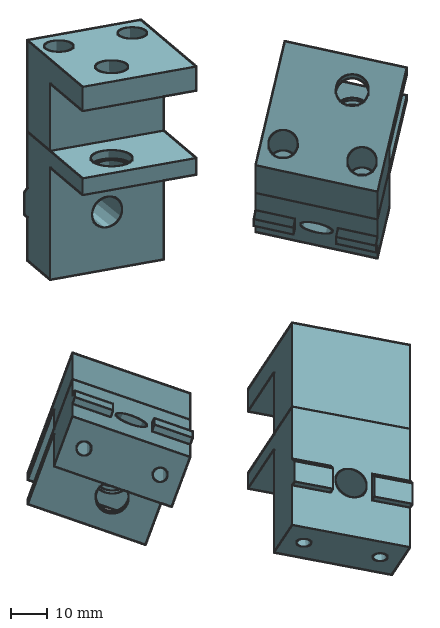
import cadquery as cq

length = 38.0
width = 34.0
height = 65.0

tooth_depth = 2.0
column_thickness = 14.95
seam_height = 38.0
upper_arm_thickness = 7.15
lower_arm_thickness = 4.95
column_end = tooth_depth + column_thickness

tooth_width = 11.05
tooth_bottom = 12.75
tooth_top = 21.3

bore_diameter = 9.0
cross_hole_height = (tooth_bottom + tooth_top) / 2

screw_diameter = 4.0
screw_head_diameter = 8.0
screw_head_depth = height - seam_height - upper_arm_thickness
screw_x = tooth_depth + column_thickness / 2
screw_spacing = 22.0

bore_x = 28.55
bore_y = -3.95
seat_diameter = 11.4
upper_seat_depth = 3.05
lower_seat_depth = 2.5


def block(x_start, x_end, y_start, y_end, z_start, z_end):
    """Box between two limits on each axis."""
    return cq.Workplane("XY").box(
        x_end - x_start, y_end - y_start, z_end - z_start, centered=False
    ).translate((x_start, y_start, z_start))


def upright_cylinder(diameter, x, y, z_start, z_end):
    """Vertical cylinder between two heights."""
    return cq.Workplane("XY", origin=(x, y, z_start)).circle(diameter / 2).extrude(z_end - z_start)


def bracket(z_start, z_end, arm_thickness):
    """Column with an arm along its top, pierced by the screw holes and the arm bore."""
    column = block(tooth_depth, column_end, -width / 2, width / 2, z_start, z_end)
    arm = block(tooth_depth, length, -width / 2, width / 2, z_end - arm_thickness, z_end)
    body = column.union(arm)
    for side in (-1, 1):
        body = body.cut(upright_cylinder(screw_diameter, screw_x, side * screw_spacing / 2, z_start, z_end))
    return body.cut(upright_cylinder(bore_diameter, bore_x, bore_y, z_start, z_end))


def make_upper_bracket():
    """Upper bracket with screw-head recesses and a seat under its arm."""
    body = bracket(seam_height, height, upper_arm_thickness)
    for side in (-1, 1):
        y = side * screw_spacing / 2
        body = body.cut(upright_cylinder(screw_head_diameter, screw_x, y, height - screw_head_depth, height))
    arm_underside = height - upper_arm_thickness
    seat_top = arm_underside + upper_seat_depth
    return body.cut(upright_cylinder(seat_diameter, bore_x, bore_y, arm_underside, seat_top))


def make_tooth(y_start):
    """Locating tooth with a sloping top face."""
    profile = [
        (tooth_depth, tooth_bottom),
        (0, tooth_bottom),
        (0, tooth_top - tooth_depth),
        (tooth_depth, tooth_top),
    ]
    return cq.Workplane("XZ", origin=(0, y_start, 0)).polyline(profile).close().extrude(-tooth_width)


def make_lower_bracket():
    """Lower bracket with two teeth, a cross hole and a seat in its arm's top."""
    body = bracket(0, seam_height, lower_arm_thickness)
    for y_start in (-width / 2, width / 2 - tooth_width):
        body = body.union(make_tooth(y_start))
    cross_hole = (
        cq.Workplane("YZ", origin=(tooth_depth, 0, cross_hole_height))
        .circle(bore_diameter / 2)
        .extrude(column_thickness)
    )
    seat_bottom = seam_height - lower_seat_depth
    seat = upright_cylinder(seat_diameter, bore_x, bore_y, seat_bottom, seam_height)
    return body.cut(cross_hole).cut(seat)


upper_bracket = make_upper_bracket()
lower_bracket = make_lower_bracket()
result = cq.Compound.makeCompound([upper_bracket.val(), lower_bracket.val()])